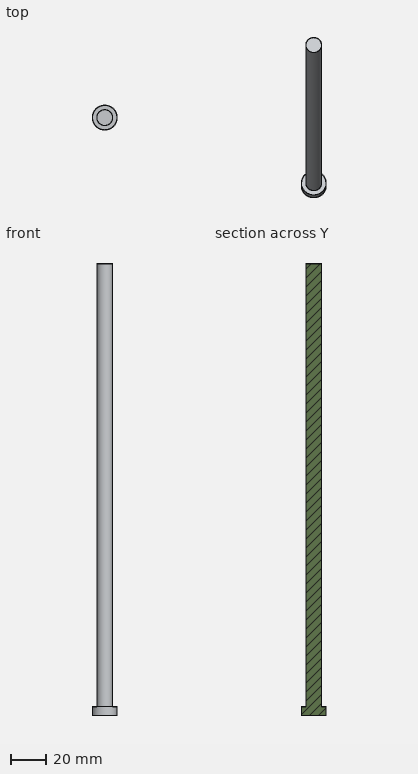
import cadquery as cq

total_length = 255.0
head_diameter = 14.0
head_height = 5.0
shaft_diameter = 9.0

shaft_length = total_length - head_height

head = cq.Workplane("XY").circle(head_diameter / 2).extrude(head_height)

result = head.faces(">Z").workplane().circle(shaft_diameter / 2).extrude(shaft_length)